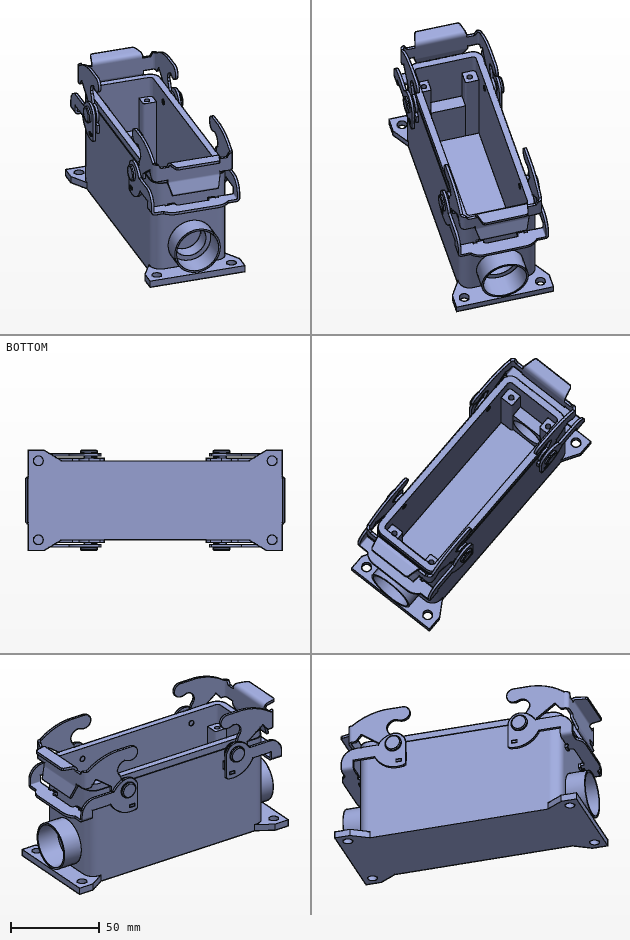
import cadquery as cq
import math

BODY_LENGTH = 121.15
BODY_WIDTH = 44.8
BODY_CORNER_RADIUS = 6.4
HOUSING_HEIGHT = 63.0
RIM_HEIGHT = 4.1
RIM_INSET = 0.45
CAVITY_LENGTH = 112.4
CAVITY_WIDTH = 35.9
CAVITY_CORNER_RADIUS = 1.9
FLOOR_THICKNESS = 4.0

BODY_HALF_LENGTH = BODY_LENGTH / 2
BODY_HALF_WIDTH = BODY_WIDTH / 2
CAVITY_HALF_LENGTH = CAVITY_LENGTH / 2
CAVITY_HALF_WIDTH = CAVITY_WIDTH / 2

FOOT_END_X = 72.1
FOOT_WIDTH = 57.0
FOOT_THICKNESS = 4.0
FOOT_SHOULDER_X = 63.0
FOOT_ROOT_X = 53.0
FOOT_HOLE_DIAMETER = 5.5
FOOT_HOLE_X = 66.2
FOOT_HOLE_Y = 22.4

POST_LENGTH = 7.6
POST_WIDTH = 7.9
POST_TOP_Z = 50.8
POST_CORNER_RADIUS = 1.0
POST_HOLE_DIAMETER = 3.0
POST_HOLE_X = 52.2
POST_HOLE_Y = 13.5
POST_HOLE_DEPTH = 12.0

ENTRY_Z = 18.5
ENTRY_OUTER_DIAMETER = 27.3
ENTRY_SOCKET_DIAMETER = 25.3
ENTRY_BORE_DIAMETER = 19.5
ENTRY_END_X = 72.1
ENTRY_SHOULDER_X = 58.6
ENTRY_BLOCK_TOP_Z = 30.5
ENTRY_MEMBRANE = 1.0
BLOCK_INNER_X = CAVITY_HALF_LENGTH - POST_LENGTH

PIVOT_X = -37.6
PIVOT_Z = 56.15
PIN_DIAMETER = 5.3
PIN_HEAD_DIAMETER = 9.5
PIN_HEAD_THICKNESS = 1.6
PIN_HEAD_CHAMFER = 0.6
PIN_TAIL_DIAMETER = 3.2
PIN_TAIL_RECESS = 0.3

SHEET = 1.5
HASP_INNER_Y = BODY_HALF_WIDTH
HASP_OUTER_Y = HASP_INNER_Y + SHEET
LEVER_INNER_Y = 25.0
LEVER_OUTER_Y = LEVER_INNER_Y + SHEET

LEVER_BASE_Z = 44.0
LEVER_BEND_RADIUS = 2.2
LEVER_TIP_X = -72.3
LEVER_HEEL_X = -68.9
LEVER_INNER_EDGE_X = -61.75
LEVER_ARM_TOP_Z = 57.2
LEVER_ARM_BOTTOM_Z = 49.9
LEVER_ARM_START_X = -46.9
LEVER_ELBOW_RADIUS = 8.6
LEVER_EYE_RADIUS = 7.0
LEVER_FRONT_X = PIVOT_X + LEVER_EYE_RADIUS
LEVER_NECK_X = -49.0
LEVER_LOBE_X = -35.6
LEVER_LOBE_BOTTOM_Z = 41.2
LEVER_LOBE_CORNER = 1.2
LEVER_LOBE_RISE = 0.3
LEVER_LOBE_MID = (-43.6, 43.7)
LEVER_BROW_MID = (-43.0, 61.3)
LEVER_EAR_MID = (-71.0, 17.0)
LEVER_TIP_HALF_WIDTH = 12.8
LEVER_SHOULDER_Y = 19.5
NOTCH_DEPTH = 2.7
NOTCH_RADIUS = 1.5
SPRING_TAB_Y = (10.0, 14.0)
SPRING_TAB_BOTTOM_Z = 43.1
SPRING_TAB_TOP_Z = 45.2
RELIEF_Y = (14.0, 15.9)
RELIEF_DEPTH = 0.9
NUB_LENGTH = 3.2
NUB_HEIGHT = 1.6
NUB_PROUD = 0.5
NUB_X = -34.5
NUB_Z = 44.95

HASP_TOP_Z = 81.0
HASP_BACK_X = -65.8
HASP_BEND_RADIUS = 2.6
HASP_BEND_X = HASP_BACK_X + HASP_BEND_RADIUS
HASP_CORNER_Z = 73.9
HASP_BOTTOM_Z = 63.3
HOOK_TIP_RADIUS = 4.25
HOOK_TIP_X = -33.1
HOOK_THROAT_RADIUS = 5.2
HOOK_THROAT_X = -37.5
HOOK_THROAT_Z = 68.3
HASP_CROWN_X = -43.8
HASP_CROWN_MID = (-53.8, 78.9)
HOOK_LIP_LENGTH = 1.2
HASP_NECK_TOP = (-42.0, 66.4)
HASP_NECK_MID = (-40.9, 64.8)
HASP_NECK_X = -40.4
HASP_WEB_X = (-61.2, -57.7, -46.9)
HASP_WEB_Z = (67.4, 59.5)
HASP_EYE_RADIUS = 5.5
HASP_STOP_X = (-37.6, -31.2)
HASP_STOP_Z = (46.5, 51.5)
HASP_DIP_Z = 71.5
HASP_DIP_Y = 19.9
HASP_DIP_SHOULDER_Y = 21.4
TAB_END_X = -73.485
TAB_TOP_Z = 74.5
TAB_BEND_RADIUS = 1.5
TAB_HALF_WIDTH = 14.6
TAB_END_HALF_WIDTH = 12.4
TAB_CORNER = 0.9
TAB_ROOT_HALF_WIDTH = 15.4
FLAP_BEND_Z = 61.6
FLAP_BEND_RADIUS = 2.5
FLAP_END_X = -68.5
FLAP_END_Z = 55.0
FLAP_HALF_WIDTH = 15.7
FLAP_END_HALF_WIDTH = 13.3


def box(x_range, y_range, z_range):
    """Axis-aligned box given by its limits."""
    x0, x1 = x_range
    y0, y1 = y_range
    z0, z1 = z_range
    return cq.Workplane("XY").box(x1 - x0, y1 - y0, z1 - z0, centered=False).translate((x0, y0, z0))


def mirrored(shape, plane):
    """The shape together with its mirror image."""
    return shape.union(shape.mirror(plane))


def across(sketch, half_width):
    """Extrude an XZ outline symmetrically about the middle plane Y = 0."""
    return sketch.extrude(half_width, both=True)


def disc_y(diameter, y_start, y_end):
    """Cylinder about the pivot axis, between two Y positions."""
    disc = cq.Workplane("XZ").center(PIVOT_X, PIVOT_Z).circle(diameter / 2).extrude(y_start - y_end)
    return disc.translate((0, y_start, 0))


def disc_x(diameter, x_start, x_end):
    """Cylinder about the cable entry axis, between two X positions."""
    disc = cq.Workplane("YZ").center(0, ENTRY_Z).circle(diameter / 2).extrude(x_end - x_start)
    return disc.translate((x_start, 0, 0))


def rounded_block(length, width, radius, z_start, z_end):
    """Block centred on the Z axis with rounded vertical edges."""
    block = cq.Workplane("XY").workplane(offset=z_start).rect(length, width).extrude(z_end - z_start)
    return block.edges("|Z").fillet(radius)


def make_shell():
    """Open-topped housing with a slightly inset rim."""
    rim_base_z = HOUSING_HEIGHT - RIM_HEIGHT
    shell = rounded_block(BODY_LENGTH, BODY_WIDTH, BODY_CORNER_RADIUS, 0, rim_base_z)
    rim = rounded_block(
        BODY_LENGTH - 2 * RIM_INSET,
        BODY_WIDTH - 2 * RIM_INSET,
        BODY_CORNER_RADIUS - RIM_INSET,
        rim_base_z,
        HOUSING_HEIGHT,
    )
    cavity = rounded_block(
        CAVITY_LENGTH, CAVITY_WIDTH, CAVITY_CORNER_RADIUS, FLOOR_THICKNESS, HOUSING_HEIGHT
    )
    return shell.union(rim).cut(cavity)


def make_foot():
    """Mounting flange under the -X end, with two screw holes."""
    half_width = FOOT_WIDTH / 2
    outline = [
        (-FOOT_END_X, -half_width),
        (-FOOT_SHOULDER_X, -half_width),
        (-FOOT_ROOT_X, -BODY_HALF_WIDTH),
        (-FOOT_ROOT_X, BODY_HALF_WIDTH),
        (-FOOT_SHOULDER_X, half_width),
        (-FOOT_END_X, half_width),
    ]
    foot = cq.Workplane("XY").polyline(outline).close().extrude(FOOT_THICKNESS)
    holes = (
        cq.Workplane("XY")
        .pushPoints([(-FOOT_HOLE_X, -FOOT_HOLE_Y), (-FOOT_HOLE_X, FOOT_HOLE_Y)])
        .circle(FOOT_HOLE_DIAMETER / 2)
        .extrude(FOOT_THICKNESS)
    )
    return foot.cut(holes)


def make_post():
    """Screw post in the (-X, -Y) corner of the cavity."""
    post = box(
        (-CAVITY_HALF_LENGTH, -CAVITY_HALF_LENGTH + POST_LENGTH),
        (-CAVITY_HALF_WIDTH, -CAVITY_HALF_WIDTH + POST_WIDTH),
        (FLOOR_THICKNESS, POST_TOP_Z),
    )
    post = post.edges("|Z and >X and >Y").fillet(POST_CORNER_RADIUS)
    backing = box(
        (-CAVITY_HALF_LENGTH - CAVITY_CORNER_RADIUS, -CAVITY_HALF_LENGTH + CAVITY_CORNER_RADIUS),
        (-CAVITY_HALF_WIDTH - CAVITY_CORNER_RADIUS, -CAVITY_HALF_WIDTH + CAVITY_CORNER_RADIUS),
        (FLOOR_THICKNESS, POST_TOP_Z),
    )
    hole = (
        cq.Workplane("XY", origin=(-POST_HOLE_X, -POST_HOLE_Y, POST_TOP_Z))
        .circle(POST_HOLE_DIAMETER / 2)
        .extrude(-POST_HOLE_DEPTH)
    )
    return post.union(backing).cut(hole)


def add_cable_entries(body):
    """Sleeves on both ends; the -X bore opens into the cavity, the +X bore ends at a membrane."""
    block_half_width = CAVITY_HALF_WIDTH - POST_WIDTH
    open_block_x = BLOCK_INNER_X + ENTRY_MEMBRANE
    for side, block_x in ((-1, open_block_x), (1, BLOCK_INNER_X)):
        x_limits = sorted((side * block_x, side * CAVITY_HALF_LENGTH))
        block = box(
            x_limits, (-block_half_width, block_half_width), (FLOOR_THICKNESS, ENTRY_BLOCK_TOP_Z)
        )
        sleeve = disc_x(ENTRY_OUTER_DIAMETER, side * BODY_HALF_LENGTH, side * ENTRY_END_X)
        socket = disc_x(ENTRY_SOCKET_DIAMETER, side * ENTRY_SHOULDER_X, side * ENTRY_END_X)
        bore = disc_x(ENTRY_BORE_DIAMETER, side * open_block_x, side * ENTRY_SHOULDER_X)
        body = body.union(block).union(sleeve).cut(socket).cut(bore)
    return body


def make_pin():
    """Headed pivot pin on the -Y side."""
    shank = disc_y(PIN_DIAMETER, -FOOT_WIDTH / 2 + PIN_HEAD_THICKNESS, -BODY_HALF_WIDTH)
    head = disc_y(PIN_HEAD_DIAMETER, -FOOT_WIDTH / 2, -FOOT_WIDTH / 2 + PIN_HEAD_THICKNESS)
    head = head.faces("<Y").chamfer(PIN_HEAD_CHAMFER)
    return shank.union(head)


def make_pin_recess():
    """Shallow recess in the cavity wall at the tail of the -Y pin."""
    return disc_y(PIN_TAIL_DIAMETER, -CAVITY_HALF_WIDTH - PIN_TAIL_RECESS, -CAVITY_HALF_WIDTH)


def lever_side_outline():
    """Side shape of the lever: curved arm, pivot eye and lobe."""
    elbow_x = LEVER_HEEL_X + LEVER_ELBOW_RADIUS
    elbow_z = LEVER_ARM_TOP_Z - LEVER_ELBOW_RADIUS
    diagonal = LEVER_ELBOW_RADIUS * math.sqrt(0.5)
    eye_diagonal = LEVER_EYE_RADIUS * math.sqrt(0.5)
    eye_top_z = PIVOT_Z + LEVER_EYE_RADIUS
    arm = (
        cq.Workplane("XZ")
        .moveTo(LEVER_HEEL_X, LEVER_BASE_Z)
        .lineTo(LEVER_HEEL_X, elbow_z)
        .threePointArc((elbow_x - diagonal, elbow_z + diagonal), (elbow_x, LEVER_ARM_TOP_Z))
        .lineTo(LEVER_ARM_START_X, LEVER_ARM_TOP_Z)
        .threePointArc(LEVER_BROW_MID, (PIVOT_X, eye_top_z))
        .threePointArc((PIVOT_X + eye_diagonal, PIVOT_Z + eye_diagonal), (LEVER_FRONT_X, PIVOT_Z))
        .lineTo(LEVER_FRONT_X, LEVER_LOBE_BOTTOM_Z + LEVER_LOBE_CORNER)
        .lineTo(LEVER_FRONT_X - LEVER_LOBE_CORNER, LEVER_LOBE_BOTTOM_Z + LEVER_LOBE_RISE)
        .lineTo(LEVER_LOBE_X, LEVER_LOBE_BOTTOM_Z)
        .threePointArc(LEVER_LOBE_MID, (LEVER_NECK_X, LEVER_ARM_BOTTOM_Z))
        .lineTo(LEVER_INNER_EDGE_X, LEVER_ARM_BOTTOM_Z)
        .lineTo(LEVER_INNER_EDGE_X, LEVER_BASE_Z)
        .close()
    )
    return across(arm, LEVER_OUTER_Y)


def lever_plan_outline():
    """Plan shape that trims the corners of the lever's base plate."""
    half_width = LEVER_OUTER_Y
    half = (
        cq.Workplane("XY")
        .moveTo(LEVER_FRONT_X, 0)
        .lineTo(LEVER_FRONT_X, half_width)
        .lineTo(LEVER_HEEL_X, half_width)
        .lineTo(LEVER_HEEL_X, LEVER_SHOULDER_Y)
        .threePointArc(LEVER_EAR_MID, (LEVER_TIP_X, LEVER_TIP_HALF_WIDTH))
        .lineTo(LEVER_TIP_X, 0)
        .close()
        .extrude(PIVOT_Z + LEVER_EYE_RADIUS)
    )
    return mirrored(half, "XZ")


def make_lever():
    """Bent sheet lever: two arms joined by a base plate."""
    arms_top_z = PIVOT_Z + LEVER_EYE_RADIUS
    x_limits = (LEVER_TIP_X, LEVER_INNER_EDGE_X)
    channel = box(x_limits, (-LEVER_OUTER_Y, LEVER_OUTER_Y), (LEVER_BASE_Z, arms_top_z))
    channel = channel.edges("|X and <Z").fillet(LEVER_BEND_RADIUS)
    hollow = box(x_limits, (-LEVER_INNER_Y, LEVER_INNER_Y), (LEVER_BASE_Z + SHEET, arms_top_z))
    hollow = hollow.edges("|X and <Z").fillet(LEVER_BEND_RADIUS - SHEET)
    flank = box(
        (LEVER_INNER_EDGE_X, LEVER_FRONT_X),
        (-LEVER_OUTER_Y, -LEVER_INNER_Y),
        (LEVER_LOBE_BOTTOM_Z, arms_top_z),
    )
    lip = box(
        (LEVER_TIP_X, LEVER_HEEL_X),
        (-LEVER_OUTER_Y, LEVER_OUTER_Y),
        (LEVER_BASE_Z, LEVER_BASE_Z + SHEET),
    )
    sheet = channel.cut(hollow).union(mirrored(flank, "XZ"))
    lever = sheet.intersect(lever_side_outline().union(lip)).intersect(lever_plan_outline())

    base_z_limits = (LEVER_BASE_Z, LEVER_BASE_Z + SHEET)
    notch_x = LEVER_INNER_EDGE_X - NOTCH_DEPTH
    notch_y = SPRING_TAB_Y[0]
    notch = box((notch_x, LEVER_INNER_EDGE_X), (-notch_y, notch_y), base_z_limits)
    notch = notch.edges("|Z and <X").fillet(NOTCH_RADIUS)
    relief = box((LEVER_INNER_EDGE_X - RELIEF_DEPTH, LEVER_INNER_EDGE_X), RELIEF_Y, base_z_limits)
    spring_tab = box(
        (LEVER_INNER_EDGE_X, -BODY_HALF_LENGTH),
        SPRING_TAB_Y,
        (SPRING_TAB_BOTTOM_Z, SPRING_TAB_TOP_Z),
    )
    lever = lever.cut(notch).cut(mirrored(relief, "XZ")).union(mirrored(spring_tab, "XZ"))

    nub = box(
        (NUB_X - NUB_LENGTH / 2, NUB_X + NUB_LENGTH / 2),
        (-LEVER_OUTER_Y - NUB_PROUD, -LEVER_INNER_Y + NUB_PROUD),
        (NUB_Z - NUB_HEIGHT / 2, NUB_Z + NUB_HEIGHT / 2),
    )
    return lever.union(mirrored(nub, "XZ"))


def hasp_side_outline():
    """Side shape of the hasp: arched hook, throat, web and rear edge."""
    tip_centre_z = HASP_TOP_Z - HOOK_TIP_RADIUS
    tip_bottom_z = HASP_TOP_Z - 2 * HOOK_TIP_RADIUS
    web_foot_x, web_notch_x, web_eye_x = HASP_WEB_X
    web_notch_z, web_eye_z = HASP_WEB_Z
    throat_top_z = HOOK_THROAT_Z + HOOK_THROAT_RADIUS
    throat_left_x = HOOK_THROAT_X - HOOK_THROAT_RADIUS
    throat_diagonal = HOOK_THROAT_RADIUS * math.sqrt(0.5)
    hook = (
        cq.Workplane("XZ")
        .moveTo(HASP_BACK_X, HASP_BOTTOM_Z)
        .lineTo(HASP_BACK_X, HASP_CORNER_Z)
        .lineTo(HASP_BEND_X, HASP_CORNER_Z)
        .threePointArc(HASP_CROWN_MID, (HASP_CROWN_X, HASP_TOP_Z))
        .lineTo(HOOK_TIP_X, HASP_TOP_Z)
        .threePointArc((HOOK_TIP_X + HOOK_TIP_RADIUS, tip_centre_z), (HOOK_TIP_X, tip_bottom_z))
        .lineTo(HOOK_TIP_X - HOOK_LIP_LENGTH, tip_bottom_z)
        .lineTo(HOOK_THROAT_X, throat_top_z)
        .threePointArc(
            (HOOK_THROAT_X - throat_diagonal, HOOK_THROAT_Z + throat_diagonal),
            (throat_left_x, HOOK_THROAT_Z),
        )
        .lineTo(*HASP_NECK_TOP)
        .threePointArc(HASP_NECK_MID, (HASP_NECK_X, PIVOT_Z + LEVER_EYE_RADIUS))
        .lineTo(PIVOT_X, PIVOT_Z)
        .lineTo(web_eye_x, PIVOT_Z)
        .lineTo(web_eye_x, web_eye_z)
        .lineTo(web_notch_x, web_notch_z)
        .lineTo(web_foot_x, HASP_BOTTOM_Z)
        .close()
    )
    eye = cq.Workplane("XZ").center(PIVOT_X, PIVOT_Z).circle(HASP_EYE_RADIUS)
    stop = box(HASP_STOP_X, (-HASP_OUTER_Y, HASP_OUTER_Y), HASP_STOP_Z)
    return across(hook, HASP_OUTER_Y).union(across(eye, HASP_OUTER_Y)).union(stop)


def make_hasp_yoke():
    """Two hooked arms joined by a rear cross plate with dips in its top edge."""
    z_limits = (HASP_STOP_Z[0], HASP_TOP_Z)
    front_x = HOOK_TIP_X + HOOK_TIP_RADIUS
    blank = box((HASP_BACK_X, front_x), (-HASP_OUTER_Y, HASP_OUTER_Y), z_limits)
    blank = blank.edges("|Z and <X").fillet(HASP_BEND_RADIUS)
    hollow = box((HASP_BACK_X + SHEET, front_x), (-HASP_INNER_Y, HASP_INNER_Y), z_limits)
    hollow = hollow.edges("|Z and <X").fillet(HASP_BEND_RADIUS - SHEET)
    yoke = blank.cut(hollow).intersect(hasp_side_outline())
    dip_outline = [
        (-HASP_DIP_SHOULDER_Y, HASP_CORNER_Z),
        (-HASP_DIP_Y, HASP_DIP_Z),
        (HASP_DIP_Y, HASP_DIP_Z),
        (HASP_DIP_SHOULDER_Y, HASP_CORNER_Z),
    ]
    dip = (
        cq.Workplane("YZ", origin=(HASP_BACK_X, 0, 0))
        .polyline(dip_outline)
        .close()
        .extrude(HASP_BEND_RADIUS)
    )
    return yoke.cut(dip)


def make_thumb_tab():
    """Thumb tab bent rearward from the top of the cross plate."""
    front_x = HASP_BACK_X + SHEET
    outer_radius = TAB_BEND_RADIUS + SHEET
    bend_x = HASP_BACK_X - TAB_BEND_RADIUS
    bend_z = TAB_TOP_Z - outer_radius
    inner_diagonal = TAB_BEND_RADIUS * math.sqrt(0.5)
    outer_diagonal = outer_radius * math.sqrt(0.5)
    profile = (
        cq.Workplane("XZ")
        .moveTo(HASP_BACK_X, HASP_DIP_Z)
        .threePointArc(
            (bend_x + inner_diagonal, bend_z + inner_diagonal), (bend_x, TAB_TOP_Z - SHEET)
        )
        .lineTo(TAB_END_X, TAB_TOP_Z - SHEET)
        .lineTo(TAB_END_X, TAB_TOP_Z)
        .lineTo(bend_x, TAB_TOP_Z)
        .threePointArc((bend_x + outer_diagonal, bend_z + outer_diagonal), (front_x, bend_z))
        .close()
    )
    half_plan = [
        (front_x, 0),
        (front_x, TAB_ROOT_HALF_WIDTH),
        (bend_x, TAB_HALF_WIDTH),
        (TAB_END_X + TAB_CORNER, TAB_END_HALF_WIDTH + TAB_CORNER),
        (TAB_END_X, TAB_END_HALF_WIDTH),
        (TAB_END_X, 0),
    ]
    plan = (
        cq.Workplane("XY", origin=(0, 0, HASP_DIP_Z))
        .polyline(half_plan)
        .close()
        .extrude(TAB_TOP_Z - HASP_DIP_Z)
    )
    return across(profile, TAB_ROOT_HALF_WIDTH).intersect(mirrored(plan, "XZ"))


def make_flap():
    """Flap sloping rearward below the cross plate, narrowing downward, with a rounded lip."""
    front_x = HASP_BACK_X + SHEET
    slope = math.atan2(HASP_BACK_X - FLAP_END_X, FLAP_BEND_Z - FLAP_END_Z)
    end_x = FLAP_END_X + SHEET * math.cos(slope)
    end_z = FLAP_END_Z - SHEET * math.sin(slope)
    profile = [
        (HASP_BACK_X, HASP_BOTTOM_Z),
        (front_x, HASP_BOTTOM_Z),
        (front_x, FLAP_BEND_Z - SHEET * math.tan(slope / 2)),
        (end_x, end_z),
        (FLAP_END_X, FLAP_END_Z),
        (HASP_BACK_X, FLAP_BEND_Z),
    ]
    lip_radius = SHEET / 2
    lip = (
        cq.Workplane("XZ")
        .center((FLAP_END_X + end_x) / 2, (FLAP_END_Z + end_z) / 2)
        .circle(lip_radius)
    )
    sheet = across(cq.Workplane("XZ").polyline(profile).close(), FLAP_HALF_WIDTH)
    bend_zone = cq.selectors.BoxSelector(
        (HASP_BACK_X - SHEET, -FLAP_HALF_WIDTH, FLAP_BEND_Z - SHEET),
        (front_x + SHEET, FLAP_HALF_WIDTH, FLAP_BEND_Z + SHEET),
    )
    sheet = sheet.edges("|Y").edges(bend_zone).fillet(FLAP_BEND_RADIUS)
    sheet = sheet.union(across(lip, FLAP_HALF_WIDTH))
    lip_bottom_z = end_z - 2 * lip_radius
    face_outline = [
        (-FLAP_END_HALF_WIDTH, lip_bottom_z),
        (-FLAP_HALF_WIDTH, FLAP_BEND_Z),
        (-FLAP_HALF_WIDTH, HASP_BOTTOM_Z),
        (FLAP_HALF_WIDTH, HASP_BOTTOM_Z),
        (FLAP_HALF_WIDTH, FLAP_BEND_Z),
        (FLAP_END_HALF_WIDTH, lip_bottom_z),
    ]
    face = (
        cq.Workplane("YZ", origin=(TAB_END_X, 0, 0))
        .polyline(face_outline)
        .close()
        .extrude(front_x - TAB_END_X)
    )
    return sheet.intersect(face)


def make_latch():
    """Complete latch of the -X end: lever, hasp and both pivot pins."""
    hasp = make_hasp_yoke().union(make_thumb_tab()).union(make_flap())
    return make_lever().union(hasp).union(mirrored(make_pin(), "XZ"))


housing = make_shell()
housing = housing.union(mirrored(make_foot(), "YZ"))
housing = housing.union(mirrored(mirrored(make_post(), "XZ"), "YZ"))
housing = add_cable_entries(housing)
housing = housing.cut(mirrored(mirrored(make_pin_recess(), "XZ"), "YZ"))
result = housing.union(mirrored(make_latch(), "YZ"))